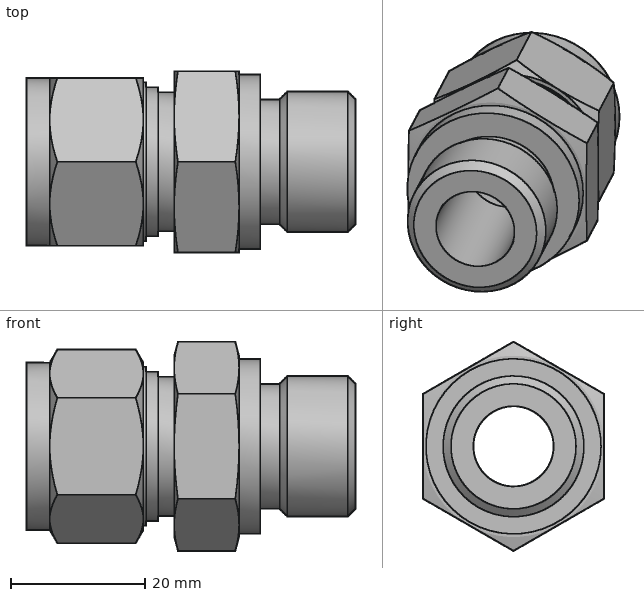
import cadquery as cq
import math

total_length = 49

nut_collar_end = 3.5
nut_hex_end = 17.4
nut_rim_end = 17.85
shoulder_end = 19.6
body_neck_end = 22.0
body_hex_end = 31.65
flange_end = 34.85
relief_end = 37.7

nut_flats = 25
body_flats = 27.0
nut_chamfer_angle = 30
body_chamfer_angle = 15

nut_rim_diameter = 23.7
shoulder_diameter = 22.25
body_neck_diameter = 20.8
flange_diameter = 26.05
relief_diameter = 18.6
thread_diameter = 20.95

bore_diameter = 11.9
socket_diameter = 15.95
socket_depth = 24.4


def cylinder(start, end, diameter):
    """Solid cylinder on the X axis between two stations."""
    return cq.Workplane("YZ").workplane(offset=start).circle(diameter / 2).extrude(end - start)


def chamfered_hexagon(start, end, flats, chamfer_angle):
    """Hexagonal prism with corners on the Z axis, coned at both ends down to the flats."""
    corner_radius = flats / math.sqrt(3)
    flat_radius = flats / 2
    cone_length = (corner_radius - flat_radius) * math.tan(math.radians(chamfer_angle))
    prism = (
        cq.Workplane("YZ")
        .workplane(offset=start)
        .polygon(6, 2 * corner_radius)
        .extrude(end - start)
        .rotate((0, 0, 0), (1, 0, 0), 90)
    )
    envelope = (
        cq.Workplane("XY")
        .moveTo(start, 0)
        .lineTo(start, flat_radius)
        .lineTo(start + cone_length, corner_radius)
        .lineTo(end - cone_length, corner_radius)
        .lineTo(end, flat_radius)
        .lineTo(end, 0)
        .close()
        .revolve(360, (0, 0, 0), (1, 0, 0))
    )
    return prism.intersect(envelope)


def union_nut():
    collar = cylinder(0, nut_collar_end, nut_flats)
    hexagon = chamfered_hexagon(nut_collar_end, nut_hex_end, nut_flats, nut_chamfer_angle)
    rim = cylinder(nut_hex_end, nut_rim_end, nut_rim_diameter)
    return collar.union(hexagon).union(rim)


def body():
    shoulder = cylinder(nut_rim_end, shoulder_end, shoulder_diameter)
    neck = cylinder(shoulder_end, body_neck_end, body_neck_diameter)
    hexagon = chamfered_hexagon(body_neck_end, body_hex_end, body_flats, body_chamfer_angle)
    flange = cylinder(body_hex_end, flange_end, flange_diameter)
    return shoulder.union(neck).union(hexagon).union(flange)


def threaded_end():
    """Relief groove and plain thread cylinder, chamfered at both ends to the relief diameter."""
    chamfer = (thread_diameter - relief_diameter) / 2
    relief = cylinder(flange_end, relief_end, relief_diameter)
    thread = cylinder(relief_end, total_length, thread_diameter).edges("%CIRCLE").chamfer(chamfer)
    return relief.union(thread)


bore = cylinder(0, total_length, bore_diameter)
socket = cylinder(0, socket_depth, socket_diameter)

result = union_nut().union(body()).union(threaded_end()).cut(bore).cut(socket)